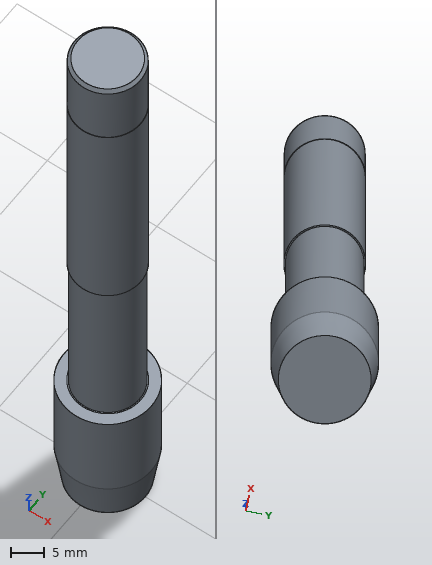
import cadquery as cq
import math

total_height = 110.0
collar_height = 25.0
taper_height = 7.9
shoulder_height = 56.2
head_length = 12.0

collar_diameter = 16.0
shank_diameter = 12.1
head_diameter = 12.0
neck_diameter = 11.7

taper_angle = 8.0
tip_chamfer_width = 0.5
tip_chamfer_height = 0.5

collar_radius = collar_diameter / 2
shank_radius = shank_diameter / 2
head_radius = head_diameter / 2
neck_radius = neck_diameter / 2
foot_radius = collar_radius - taper_height * math.tan(math.radians(taper_angle))
seat_height = collar_height / 2


def make_collar():
    """Round collar with a tapered foot and a blind bore for the pin."""
    profile = [
        (0, 0),
        (foot_radius, 0),
        (collar_radius, taper_height),
        (collar_radius, collar_height),
        (shank_radius, collar_height),
        (shank_radius, seat_height),
        (0, seat_height),
    ]
    return cq.Workplane("XZ").polyline(profile).close().revolve(360, (0, 0), (0, 1))


def make_pin():
    """Stepped pin: press-fit root, slimmer neck, full-size shank, and a slightly finer chamfered head."""
    head_base = total_height - head_length
    profile = [
        (0, seat_height),
        (shank_radius, seat_height),
        (shank_radius, collar_height),
        (neck_radius, collar_height),
        (neck_radius, shoulder_height),
        (shank_radius, shoulder_height),
        (shank_radius, head_base),
        (head_radius, head_base),
        (head_radius, total_height - tip_chamfer_height),
        (head_radius - tip_chamfer_width, total_height),
        (0, total_height),
    ]
    return cq.Workplane("XZ").polyline(profile).close().revolve(360, (0, 0), (0, 1))


collar = make_collar()
pin = make_pin()

result = cq.Compound.makeCompound([collar.val(), pin.val()])